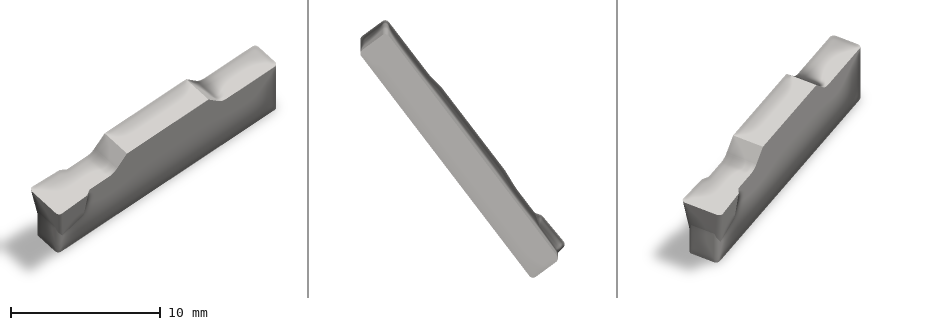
import cadquery as cq
import math

total_length = 19.58
total_height = 5.76
shank_width = 2.3
corner_radius = 0.3

pad_rise = 1.18
pad_front = 6.32
pad_back = 13.48
ramp_angle = 45
ramp_foot_radius = 1.0
rake_height = total_height - pad_rise

sharp_edge_width = 3.075
relief_angle = 7
side_angle = 2.4
head_length = 2.6
bevel_angle = 32.7
bevel_tail = 1.0
heel_radius = 0.2
head_depth = 3.3
shank_front = 0.25


def make_shank():
    """Straight bar with a raised pad and rounded upright corners."""
    ramp_run = pad_rise / math.tan(math.radians(ramp_angle))
    ramp_foot_front = pad_front - ramp_run
    ramp_foot_back = pad_back + ramp_run
    side_outline = [
        (shank_front, 0),
        (total_length, 0),
        (total_length, rake_height),
        (ramp_foot_back, rake_height),
        (pad_back, total_height),
        (pad_front, total_height),
        (ramp_foot_front, rake_height),
        (shank_front, rake_height),
    ]
    shank = cq.Workplane("YZ").polyline(side_outline).close().extrude(shank_width / 2, both=True)
    shank = shank.edges("|Z").fillet(corner_radius)
    for foot in (ramp_foot_front, ramp_foot_back):
        foot_edge = cq.selectors.NearestToPointSelector((0, foot, rake_height))
        shank = shank.edges("|X").edges(foot_edge).fillet(ramp_foot_radius)
    return shank


def make_head():
    """Cutting head: a plan outline that shrinks downward at the relief angle."""
    edge_half = sharp_edge_width / 2
    heel_half = edge_half - head_length * math.tan(math.radians(side_angle))
    tail_half = heel_half - bevel_tail * math.tan(math.radians(bevel_angle))
    tail_end = head_length + bevel_tail
    right_side = [(edge_half, 0), (heel_half, head_length), (tail_half, tail_end)]
    left_side = [(-x, y) for x, y in reversed(right_side)]
    head = (
        cq.Workplane("XY")
        .workplane(offset=rake_height)
        .polyline(right_side + left_side)
        .close()
        .extrude(-head_depth, taper=relief_angle)
    )
    inset = head_depth / 2 * math.tan(math.radians(relief_angle))
    mid_height = rake_height - head_depth / 2
    for side in (-1, 1):
        front_corner = (side * (edge_half - inset), inset, mid_height)
        heel_corner = (side * (heel_half - inset), head_length, mid_height)
        for corner, radius in ((front_corner, corner_radius), (heel_corner, heel_radius)):
            head = head.edges(cq.selectors.NearestToPointSelector(corner)).fillet(radius)
    return head


result = make_shank().union(make_head())